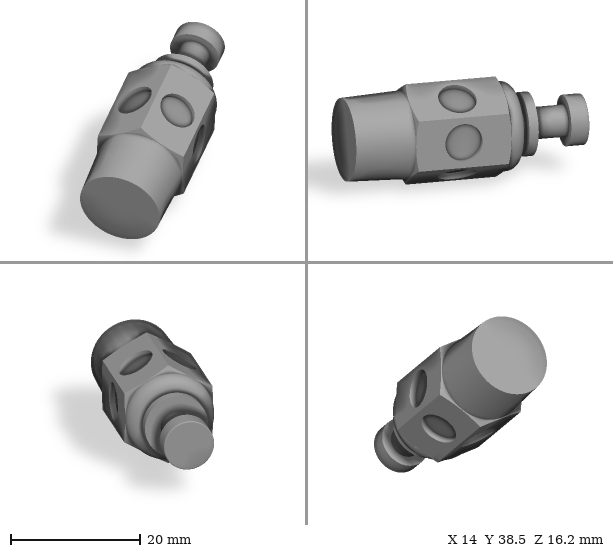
import cadquery as cq
import math

taper_length = 9.47
hex_end = 25.02
cap_end = 27.5
collar_start = 28.45
collar_thickness = 1.5
head_length = 2.95
total_length = 38.5

across_flats = 14.0
across_corners = across_flats / math.cos(math.pi / 6)
taper_tip_diameter = 13.0
taper_base_diameter = 13.8
cap_fillet = 2.0
stem_diameter = 5.0
collar_diameter = 10.0
head_diameter = 8.0
head_edge_fillet = 0.2

corner_setback = 0.5

port_count = 6
port_diameter = 6.0
port_depth = 1.0
port_center = (taper_length + hex_end) / 2


def cylinder(diameter, start, length):
    """Cylinder on the Y axis, running from start towards +Y."""
    plane = cq.Plane(origin=(0, start, 0), xDir=(1, 0, 0), normal=(0, 1, 0))
    return cq.Workplane(plane).circle(diameter / 2).extrude(length)


def revolve_about_y(points):
    """Solid of revolution from (radius, station) points."""
    return cq.Workplane("XY").polyline(points).close().revolve(360, (0, 0), (0, 1))


def make_hex_body():
    """Hexagon with flats at +/-X and corners turned down by a cone at both ends."""
    length = hex_end - taper_length
    plane = cq.Plane(origin=(0, taper_length, 0), xDir=(0, 0, 1), normal=(0, 1, 0))
    prism = cq.Workplane(plane).polygon(6, across_corners).extrude(length)
    end_radius = taper_base_diameter / 2
    corner_radius = across_corners / 2
    envelope = revolve_about_y([
        (0, taper_length),
        (end_radius, taper_length),
        (corner_radius, taper_length + corner_setback),
        (corner_radius, hex_end - corner_setback),
        (end_radius, hex_end),
        (0, hex_end),
    ])
    return prism.intersect(envelope)


def make_port(index):
    """Cutter for one blind port, turned about Y onto its flat."""
    angle = index * 360 / port_count
    port = (
        cq.Workplane("YZ", origin=(across_flats / 2 - port_depth, port_center, 0))
        .circle(port_diameter / 2)
        .extrude(across_flats)
    )
    return port.rotate((0, 0, 0), (0, 1, 0), angle)


taper = revolve_about_y([
    (0, 0),
    (taper_tip_diameter / 2, 0),
    (taper_base_diameter / 2, taper_length),
    (0, taper_length),
])
cap = cylinder(across_flats, hex_end, cap_end - hex_end).faces(">Y").edges().fillet(cap_fillet)
stem = cylinder(stem_diameter, cap_end, total_length - cap_end)
collar = cylinder(collar_diameter, collar_start, collar_thickness)
head = cylinder(head_diameter, total_length - head_length, head_length)
head = head.faces(">Y").edges().fillet(head_edge_fillet)

result = make_hex_body()
for feature in (taper, cap, stem, collar, head):
    result = result.union(feature)
for index in range(port_count):
    result = result.cut(make_port(index))